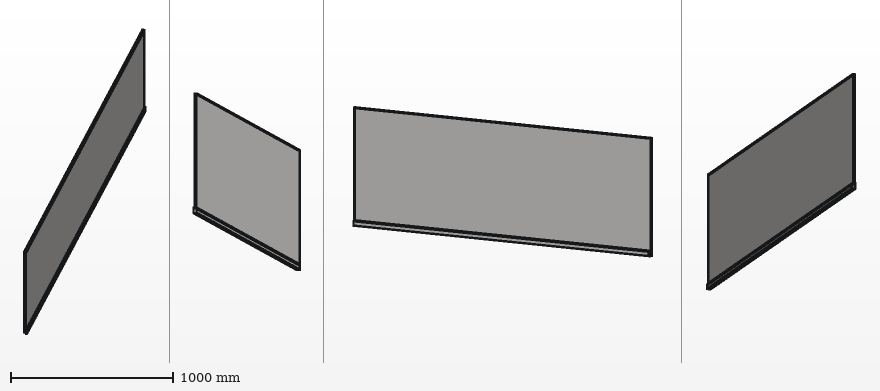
import cadquery as cq

DEPTH = 22.0
LENGTH = 1983.0
HEIGHT = 752.0

PANEL_FRONT = 4.0
PANEL_THICKNESS = 13.3
PANEL_END_GAP = 4.0
RIM_GROOVE_WIDTH = 5.0
RIM_GROOVE_DEPTH = 4.0

RAIL_HEIGHT = 28.0
NECK_HEIGHT = 7.0
NECK_FRONT = 5.0
NECK_END_GAP = 2.0
RAIL_SETBACK = 7.0
RELIEF_LENGTH = 7.5
RELIEF_DEPTH = 1.0

TAB_THICKNESS = 4.0
LOWER_TAB_HEIGHT = 4.0
UPPER_TAB_BOTTOM = 15.0

PANEL_BOTTOM = RAIL_HEIGHT + NECK_HEIGHT
PANEL_END = LENGTH - PANEL_END_GAP


def block(x_range, y_range, z_range):
    """Box spanning the given (low, high) range on each axis."""
    ranges = (x_range, y_range, z_range)
    sizes = [high - low for low, high in ranges]
    corner = tuple(low for low, high in ranges)
    return cq.Workplane().box(*sizes, centered=False).translate(corner)


def make_panel():
    """Flat panel with a shallow groove in the middle of its two end rims and its top rim."""
    back = PANEL_FRONT + PANEL_THICKNESS
    panel = block((PANEL_FRONT, back), (0, PANEL_END), (PANEL_BOTTOM, HEIGHT))

    groove_front = PANEL_FRONT + (PANEL_THICKNESS - RIM_GROOVE_WIDTH) / 2
    groove_x = (groove_front, groove_front + RIM_GROOVE_WIDTH)
    grooved_layer = block(groove_x, (0, PANEL_END), (PANEL_BOTTOM, HEIGHT))
    kept_core = block(
        groove_x,
        (RIM_GROOVE_DEPTH, PANEL_END - RIM_GROOVE_DEPTH),
        (PANEL_BOTTOM, HEIGHT - RIM_GROOVE_DEPTH),
    )
    return panel.cut(grooved_layer.cut(kept_core))


def make_rail():
    """Bottom rail with a stepped-back neck and a shallow relief in its front face at the -Y end."""
    body = block((0, DEPTH), (RAIL_SETBACK, LENGTH), (0, RAIL_HEIGHT))
    relief = block(
        (0, RELIEF_DEPTH),
        (RAIL_SETBACK, RAIL_SETBACK + RELIEF_LENGTH),
        (0, RAIL_HEIGHT),
    )
    neck = block(
        (NECK_FRONT, DEPTH),
        (RAIL_SETBACK, LENGTH - NECK_END_GAP),
        (RAIL_HEIGHT, PANEL_BOTTOM),
    )
    return body.cut(relief).union(neck)


def make_back_tab(z_range):
    """Thin tab at the back of the rail, reaching the -Y end."""
    return block((DEPTH - TAB_THICKNESS, DEPTH), (0, RAIL_SETBACK), z_range)


result = make_panel().union(make_rail())
for tab_range in ((0, LOWER_TAB_HEIGHT), (UPPER_TAB_BOTTOM, PANEL_BOTTOM)):
    result = result.union(make_back_tab(tab_range))